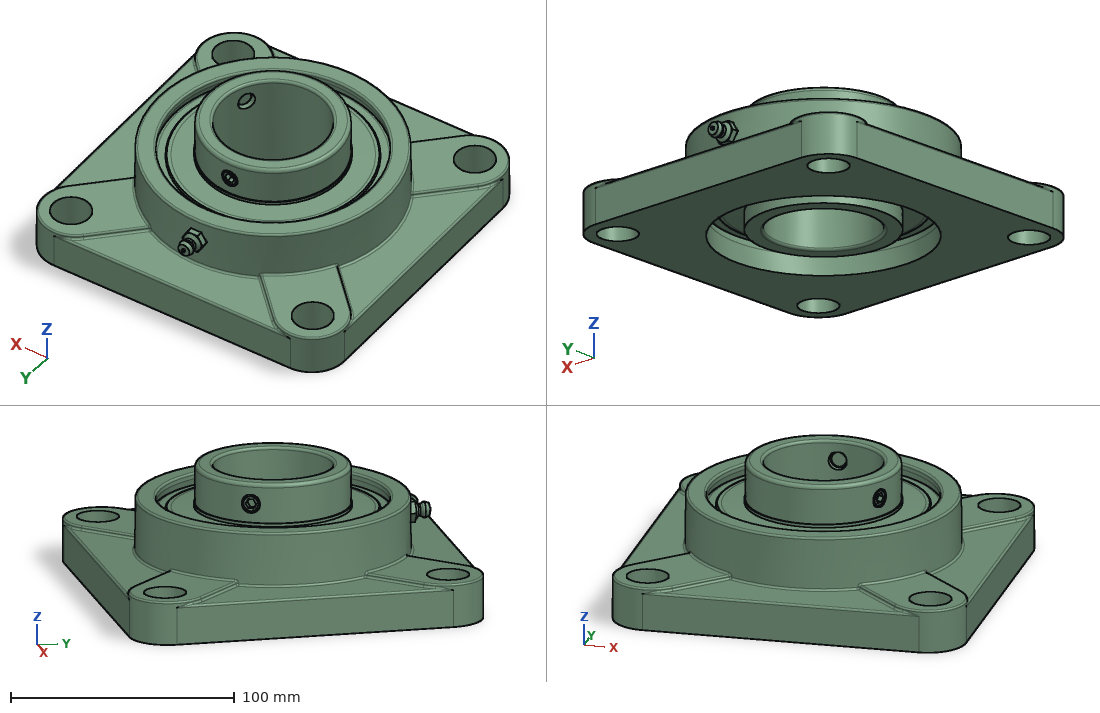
import cadquery as cq
import math


FLANGE_SIDE = 162.0
CORNER_RADIUS = 17.5
PAD_TOP = 20.1
WEB_TOP = 18.1
FLANGE_FILLET = 1.0
PAD_FILLET = 0.8
BASE_FILLET = 1.0
BOLT_SPACING = 130.0
BOLT_HOLE_DIAMETER = 19.0

HOUSING_TOP = 43.1
DRUM_BASE_RADIUS = 62.0
DRUM_TOP_RADIUS = 61.5
DRUM_FILLET = 1.0

BEARING_CENTRE = 25.0
SEAT_DIAMETER = 109.2
MOUTH_DIAMETER = 104.8
MOUTH_FILLET = 1.0
OUTER_RING_WIDTH = 25.0
OUTER_RING_BORE = 89.0
OUTER_RING_FILLET = 1.6

SEAL_DIAMETER = 96.2
SEAL_RIM_DIAMETER = 91.4
SEAL_RECESS_DEPTH = 1.6
SEAL_RIM_PROUD = 0.6
SEAL_CONE_RISE = 0.5
SEAL_EDGE_CHAMFER = 0.6

INNER_RING_TOP = 58.3
INNER_RING_BOTTOM = 2.8
INNER_RING_BORE = 54.0
COLLAR_DIAMETER = 69.8
SHOULDER_DIAMETER = 70.8
SHOULDER_TOP = 40.0
COLLAR_FILLET = 1.8
BORE_FILLET = 1.3

SCREW_DIAMETER = 8.5
SCREW_HEIGHT = 48.6
SCREW_ANGLES = (-30, 90)
SCREW_INNER_END = 29.2
SCREW_OUTER_END = 34.7
SCREW_CHAMFER = 0.8
SOCKET_FLATS = 4.2
SOCKET_DEPTH = 2.9

NIPPLE_HEIGHT = 32.2
SHANK_START = 56.7
SHANK_DIAMETER = 6.0
HEX_START = 60.9
HEX_END = 64.6
HEX_FLATS = 9.5
NIPPLE_CONE_END = 66.3
NIPPLE_NECK_AT = 67.2
NIPPLE_NECK_RADIUS = 2.6
HEAD_START = 68.0
HEAD_WIDEST = 69.3
HEAD_RADIUS = 3.7
HEAD_END = 71.5
TIP_END = 72.3
TIP_DIAMETER = 1.5

TOLERANCE = 0.02
HEX_CORNER_RATIO = 2 / math.sqrt(3)


def revolved(points):
    """Solid of revolution about Z from (radius, height) points."""
    return cq.Workplane("XZ").polyline(points).close().revolve(360, (0, 0, 0), (0, 1, 0))


def disc(radius, bottom, top):
    return cq.Workplane("XY").workplane(offset=bottom).circle(radius).extrude(top - bottom)


def seat_sphere():
    return cq.Workplane("XY").sphere(SEAT_DIAMETER / 2).translate((0, 0, BEARING_CENTRE))


def rounded_square(height):
    return (
        cq.Workplane("XY")
        .rect(FLANGE_SIDE, FLANGE_SIDE)
        .extrude(height)
        .edges("|Z")
        .fillet(CORNER_RADIUS)
    )


def edges_at(body, height, reach):
    """Edges lying flat at a height, within a square of half-width `reach` about the axis."""
    low_corner = (-reach, -reach, height - TOLERANCE)
    high_corner = (reach, reach, height + TOLERANCE)
    return body.edges(cq.selectors.BoxSelector(low_corner, high_corner, boundingbox=True))


def make_flange():
    """Square plate with two crossing diagonal bands that stand up as corner pads."""
    corner_centre = FLANGE_SIDE / 2 - CORNER_RADIUS
    band_length = 2 * (math.sqrt(2) * corner_centre + CORNER_RADIUS)
    flange = rounded_square(WEB_TOP).faces(">Z").edges().fillet(FLANGE_FILLET)
    for angle in (45, 135):
        band = cq.Workplane("XY").slot2D(band_length, 2 * CORNER_RADIUS).extrude(PAD_TOP)
        flange = flange.union(band.rotate((0, 0, 0), (0, 0, 1), angle))
    inside_rim = FLANGE_SIDE / 2 - TOLERANCE
    flange = edges_at(flange, WEB_TOP, inside_rim).fillet(BASE_FILLET)
    return flange.faces(">Z").edges().fillet(PAD_FILLET)


def make_drum():
    drum = revolved([(0, 0), (DRUM_BASE_RADIUS, 0), (DRUM_TOP_RADIUS, HOUSING_TOP), (0, HOUSING_TOP)])
    return drum.faces(">Z").edges().fillet(DRUM_FILLET)


def make_housing(nipple):
    housing = make_flange().union(make_drum())
    housing = edges_at(housing, PAD_TOP, DRUM_BASE_RADIUS).edges("%CIRCLE").fillet(BASE_FILLET)
    bolt_holes = (
        cq.Workplane("XY")
        .rect(BOLT_SPACING, BOLT_SPACING, forConstruction=True)
        .vertices()
        .circle(BOLT_HOLE_DIAMETER / 2)
        .extrude(PAD_TOP)
    )
    mouth = disc(MOUTH_DIAMETER / 2, 0, HOUSING_TOP)
    housing = housing.cut(bolt_holes).cut(mouth)
    housing = housing.faces(">Z").edges("%CIRCLE").edges(cq.selectors.RadiusNthSelector(0)).fillet(MOUTH_FILLET)
    return housing.cut(seat_sphere()).cut(nipple)


def mirrored(body):
    """Copy of a body reflected in the middle plane of the bearing."""
    return body.mirror("XY", (0, 0, BEARING_CENTRE))


def make_outer_ring():
    bottom = BEARING_CENTRE - OUTER_RING_WIDTH / 2
    top = BEARING_CENTRE + OUTER_RING_WIDTH / 2
    ring = seat_sphere().intersect(disc(SEAT_DIAMETER, bottom, top))
    ring = ring.faces("<Z or >Z").edges().fillet(OUTER_RING_FILLET)
    ring = ring.cut(disc(OUTER_RING_BORE / 2, bottom, top))
    recess = disc(SEAL_DIAMETER / 2, top - SEAL_RECESS_DEPTH, top)
    return ring.cut(recess).cut(mirrored(recess))


def make_seal():
    ring_face = BEARING_CENTRE + OUTER_RING_WIDTH / 2
    bottom = ring_face - SEAL_RECESS_DEPTH
    rim_top = ring_face + SEAL_RIM_PROUD
    return revolved([
        (SHOULDER_DIAMETER / 2, bottom),
        (SEAL_DIAMETER / 2, bottom),
        (SEAL_DIAMETER / 2, rim_top - SEAL_EDGE_CHAMFER),
        (SEAL_DIAMETER / 2 - SEAL_EDGE_CHAMFER, rim_top),
        (SEAL_RIM_DIAMETER / 2, rim_top),
        (SHOULDER_DIAMETER / 2, rim_top + SEAL_CONE_RISE),
    ])


def screw_hole():
    return cq.Workplane("YZ").circle(SCREW_DIAMETER / 2).extrude(COLLAR_DIAMETER)


def place_screw(body, angle):
    """Moves a body lying along +X at the origin to its place in the collar."""
    return body.translate((0, 0, SCREW_HEIGHT)).rotate((0, 0, 0), (0, 0, 1), angle)


def make_inner_ring():
    shoulder = disc(SHOULDER_DIAMETER / 2, INNER_RING_BOTTOM, SHOULDER_TOP)
    collar = disc(COLLAR_DIAMETER / 2, SHOULDER_TOP, INNER_RING_TOP).faces(">Z").edges().fillet(COLLAR_FILLET)
    ring = shoulder.union(collar).cut(disc(INNER_RING_BORE / 2, INNER_RING_BOTTOM, INNER_RING_TOP))
    ring = ring.faces("<Z or >Z").edges(cq.selectors.RadiusNthSelector(0)).fillet(BORE_FILLET)
    for angle in SCREW_ANGLES:
        ring = ring.cut(place_screw(screw_hole(), angle))
    return ring


def make_set_screw(angle):
    screw = (
        cq.Workplane("YZ", origin=(SCREW_INNER_END, 0, 0))
        .circle(SCREW_DIAMETER / 2)
        .extrude(SCREW_OUTER_END - SCREW_INNER_END)
        .faces("<X or >X")
        .chamfer(SCREW_CHAMFER)
    )
    socket = (
        cq.Workplane("YZ", origin=(SCREW_OUTER_END, 0, 0))
        .polygon(6, SOCKET_FLATS * HEX_CORNER_RATIO)
        .extrude(-SOCKET_DEPTH)
    )
    return place_screw(screw.cut(socket), angle)


def make_nipple():
    shank_radius = SHANK_DIAMETER / 2
    turned = revolved([
        (0, SHANK_START),
        (shank_radius, SHANK_START),
        (shank_radius, HEX_START),
        (HEX_FLATS / 2, HEX_END),
        (shank_radius, NIPPLE_CONE_END),
        (NIPPLE_NECK_RADIUS, NIPPLE_NECK_AT),
        (shank_radius, HEAD_START),
        (HEAD_RADIUS, HEAD_WIDEST),
        (shank_radius, HEAD_END),
        (TIP_DIAMETER / 2, HEAD_END),
        (TIP_DIAMETER / 2, TIP_END),
        (0, TIP_END),
    ])
    hexagon = (
        cq.Workplane("XY", origin=(0, 0, HEX_START))
        .polygon(6, HEX_FLATS * HEX_CORNER_RATIO)
        .extrude(HEX_END - HEX_START)
    )
    nipple = turned.union(hexagon).rotate((0, 0, 0), (1, 0, 0), -90)
    return nipple.translate((0, 0, NIPPLE_HEIGHT))


nipple = make_nipple()
housing = make_housing(nipple)
outer_ring = make_outer_ring()
inner_ring = make_inner_ring()
upper_seal = make_seal()
seals = [upper_seal, mirrored(upper_seal)]
set_screws = [make_set_screw(angle) for angle in SCREW_ANGLES]

bodies = [housing, outer_ring, inner_ring, *seals, *set_screws, nipple]
result = cq.Compound.makeCompound([body.val() for body in bodies])